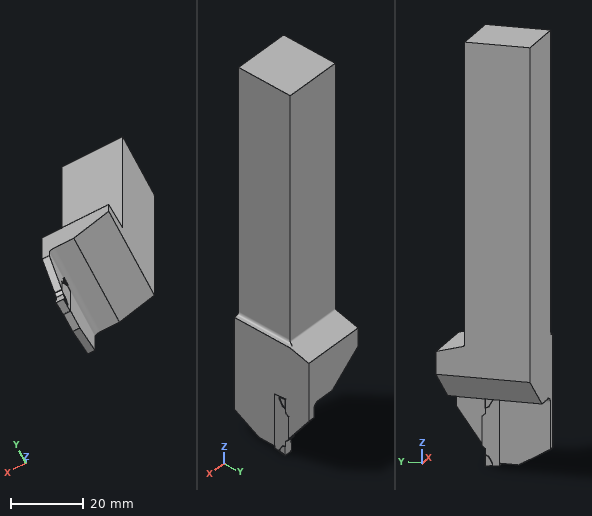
import cadquery as cq
import math

total_height = 127.0
shank_size = 19.0

head_depth = 27.4
blade_right = 20.8
lip_top = 39.1
lip_fillet = 1.0
ramp_top = 39.5
ramp_angle = 15.0
ramp_fillet = 0.6

blade_left = 18.5
relief_top = 30.7
relief_bottom = 21.6
relief_angle = 40.0
blade_fillet = 1.8

blade_bottom = 1.1
heel_height = 6.4
heel_length = 9.1
front_corner_z = 16.6

insert_top = 20.1
insert_back_y = 14.9
insert_land_y = 18.9
insert_bulge_y = 20.0
bulge_start_z = 5.0
bulge_full_z = 5.8
end_clearance = 0.4

head_overhang = 0.3
head_height = 3.3
head_shoulder_y = 17.9
head_shoulder_z = 2.9
head_root_y = 16.8
head_root_z = 0.9

ramp_end_z = ramp_top - (head_depth - shank_size) * math.tan(math.radians(ramp_angle))
relief_corner_x = (relief_top - relief_bottom) / math.tan(math.radians(relief_angle))
front_slope = (front_corner_z - bulge_start_z) / (head_depth - insert_land_y)
front_slope_end_y = head_depth - (front_corner_z - blade_bottom) / front_slope
blade_width = blade_right - blade_left
insert_middle_z = insert_top / 2


def near(profile, x, y):
    """Select the upright edge of an extruded profile at local point (x, y)."""
    size = 0.1
    far = 254.0
    plane = profile.plane
    a = plane.toWorldCoords((x - size, y - size, -far))
    b = plane.toWorldCoords((x + size, y + size, far))
    return cq.selectors.BoxSelector(a.toTuple(), b.toTuple())


def make_width_profile():
    """Shank, lip, relief and blade in the XZ plane, extruded over the head depth."""
    outline = (
        cq.Workplane("XZ")
        .polyline([
            (0, total_height),
            (shank_size, total_height),
            (shank_size, lip_top),
            (blade_right, lip_top),
            (blade_right, 0),
            (blade_left, 0),
            (blade_left, relief_bottom),
            (relief_corner_x, relief_bottom),
            (0, relief_top),
        ])
        .close()
        .extrude(-head_depth)
    )
    outline = outline.edges(near(outline, shank_size, lip_top)).fillet(lip_fillet)
    return outline.edges(near(outline, blade_left, relief_bottom)).fillet(blade_fillet)


def make_depth_profile():
    """Shank, ramp and blade in the YZ plane, extruded over the full width."""
    outline = (
        cq.Workplane("YZ")
        .polyline([
            (0, total_height),
            (shank_size, total_height),
            (shank_size, ramp_top),
            (head_depth, ramp_end_z),
            (head_depth, front_corner_z),
            (front_slope_end_y, blade_bottom),
            (heel_length, blade_bottom),
            (0, heel_height),
        ])
        .close()
        .extrude(blade_right)
    )
    return outline.edges(near(outline, shank_size, ramp_top)).fillet(ramp_fillet)


def make_cutting_head():
    """Lower cutting head, overhanging both blade faces."""
    return (
        cq.Workplane("YZ", origin=(blade_left - head_overhang, 0, 0))
        .moveTo(insert_land_y, 0)
        .lineTo(insert_land_y, head_height)
        .lineTo(head_shoulder_y, head_shoulder_z)
        .lineTo(head_root_y, head_root_z)
        .lineTo(head_root_y, end_clearance)
        .close()
        .extrude(blade_width + 2 * head_overhang)
    )


def make_insert():
    """Blade-thick insert with a bulged front edge and a cutting head at each end."""
    body = (
        cq.Workplane("YZ", origin=(blade_left, 0, 0))
        .polyline([
            (insert_back_y, end_clearance),
            (insert_land_y, 0),
            (insert_land_y, bulge_start_z),
            (insert_bulge_y, bulge_full_z),
            (insert_bulge_y, insert_top - bulge_full_z),
            (insert_land_y, insert_top - bulge_start_z),
            (insert_land_y, insert_top),
            (insert_back_y, insert_top - end_clearance),
        ])
        .close()
        .extrude(blade_width)
    )
    lower_head = make_cutting_head()
    upper_head = lower_head.mirror("XY", (0, 0, insert_middle_z))
    return body.union(lower_head).union(upper_head)


def make_holder(insert):
    """Holder with a seat that matches the insert and opens at the blade tip."""
    return make_width_profile().intersect(make_depth_profile()).cut(insert)


insert = make_insert()
holder = make_holder(insert)

result = cq.Compound.makeCompound([holder.val(), insert.val()])